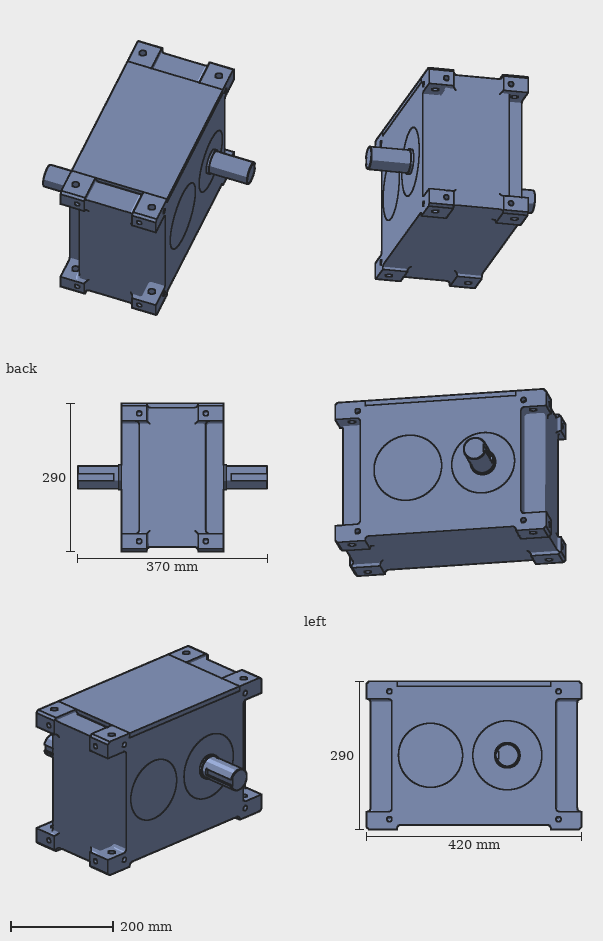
import cadquery as cq
import math

WIDTH = 200.0
LENGTH = 420.0
HEIGHT = 290.0
EDGE_CHAMFER = 5.0

FOOT_WIDTH = 50.0
FOOT_HEIGHT = 35.0
CHANNEL_DEPTH = 8.0
TROUGH_DEPTH = 9.0
CHANNEL_RADIUS = 7.0

POCKET_DEPTH = 35.0
POCKET_LENGTH = 50.0
POCKET_CORNER_RADIUS = 5.0
POCKET_LIP_RADIUS = 5.0

PLATE_LENGTH = 300.0
PLATE_THICKNESS = 10.0

MOUNT_DIAMETER = 14.0
MOUNT_FROM_SIDE = 20.0
MOUNT_FROM_END = 30.0
TAP_DIAMETER = 10.0
TAP_DEPTH = 20.0
TAP_TIP_ANGLE = 118.0
TAP_FROM_FACE = 20.0
END_TAP_FROM_SIDE = 35.0
SIDE_TAP_FROM_END = 45.0

OUTPUT_Y = -65.0
INPUT_Y = 85.0
OUTPUT_COVER_DIAMETER = 135.0
INPUT_COVER_DIAMETER = 125.0
COVER_THICKNESS = 10.0
SHAFT_SPAN = 370.0
SHAFT_DIAMETER = 45.0
COLLAR_DIAMETER = 49.5
COLLAR_LENGTH = 5.0
SHAFT_CHAMFER = 1.3
KEYWAY_WIDTH = 14.0
KEYWAY_DEPTH = 5.5
KEYWAY_LENGTH = 70.0

POCKET_HEIGHT = HEIGHT - 2 * FOOT_HEIGHT
FOOT_GAP = WIDTH - 2 * FOOT_WIDTH
FOOT_LENGTH = (LENGTH - PLATE_LENGTH) / 2
SHAFT_LENGTH = (SHAFT_SPAN - WIDTH) / 2
SIGNS = (-1, 1)


def block():
    """Outer block with its end edges chamfered."""
    return cq.Workplane("XY").box(WIDTH, LENGTH, HEIGHT).edges("|X").chamfer(EDGE_CHAMFER)


def rounded_channel(width, depth, run):
    """Cutter along Y whose mouth lies in the plane Z = 0, with a rounded floor below it."""
    return (
        cq.Workplane("XY")
        .box(width, run, 2 * depth)
        .edges("|Y and <Z")
        .fillet(CHANNEL_RADIUS)
    )


def cut_end_channels(body):
    """Upright recess between the feet on each end face."""
    channel = rounded_channel(FOOT_GAP, CHANNEL_DEPTH, HEIGHT)
    front_channel = channel.rotate((0, 0, 0), (1, 0, 0), 90).translate((0, -LENGTH / 2, 0))
    return body.cut(front_channel).cut(front_channel.mirror("XZ"))


def back_waist():
    """Cutter between the upper and lower feet at the +Y end: two pockets joined by a level recess."""
    margin = 2 * CHANNEL_RADIUS
    outer_x = WIDTH / 2 + margin
    outer_y = LENGTH / 2 + margin
    floor_x = WIDTH / 2 - POCKET_DEPTH
    recess_y = LENGTH / 2 - CHANNEL_DEPTH
    pocket_y = LENGTH / 2 - POCKET_LENGTH

    cutter = (
        cq.Workplane("XY", origin=(0, 0, -POCKET_HEIGHT / 2))
        .moveTo(-outer_x, outer_y)
        .lineTo(-outer_x, pocket_y)
        .lineTo(-floor_x, pocket_y)
        .lineTo(-floor_x, recess_y)
        .lineTo(floor_x, recess_y)
        .lineTo(floor_x, pocket_y)
        .lineTo(outer_x, pocket_y)
        .lineTo(outer_x, outer_y)
        .close()
        .extrude(POCKET_HEIGHT)
    )
    for x in (-floor_x, floor_x):
        lip = cq.selectors.NearestToPointSelector((x, recess_y, 0))
        cutter = cutter.edges(lip).fillet(POCKET_LIP_RADIUS)
    cutter = cutter.faces("<Z or >Z").edges().fillet(CHANNEL_RADIUS)
    for x in (-floor_x, floor_x):
        corner = cq.selectors.NearestToPointSelector((x, pocket_y, 0))
        cutter = cutter.edges(corner).fillet(POCKET_CORNER_RADIUS)
    return cutter


def cut_waists(body):
    """Waist of each end, between its upper and its lower feet."""
    waist = back_waist()
    return body.cut(waist).cut(waist.mirror("XZ"))


def cut_bottom_channels(body):
    """Crossing troughs that leave only the four feet on the ground."""
    along = rounded_channel(FOOT_GAP, TROUGH_DEPTH, LENGTH)
    across = rounded_channel(PLATE_LENGTH, TROUGH_DEPTH, WIDTH).rotate((0, 0, 0), (0, 0, 1), 90)
    for cutter in (along, across):
        body = body.cut(cutter.mirror("XY").translate((0, 0, -HEIGHT / 2)))
    return body


def cut_top_channels(body):
    """Trough between the upper feet at each end, and the sharp seat of the top plate."""
    trough = rounded_channel(FOOT_GAP, TROUGH_DEPTH, FOOT_LENGTH)
    for side in SIGNS:
        body = body.cut(trough.translate((0, side * (LENGTH - FOOT_LENGTH) / 2, HEIGHT / 2)))
    return body.cut(plate())


def plate():
    """Plain plate, flush with the upper feet."""
    return (
        cq.Workplane("XY")
        .box(WIDTH, PLATE_LENGTH, PLATE_THICKNESS)
        .translate((0, 0, (HEIGHT - PLATE_THICKNESS) / 2))
    )


def drill_mount_holes(body):
    """Upright holes through the upper and lower feet."""
    spacing = (WIDTH - 2 * MOUNT_FROM_SIDE, LENGTH - 2 * MOUNT_FROM_END)
    drills = (
        cq.Workplane("XY", origin=(0, 0, -HEIGHT / 2))
        .rect(*spacing, forConstruction=True)
        .vertices()
        .circle(MOUNT_DIAMETER / 2)
        .extrude(HEIGHT)
    )
    return body.cut(drills)


def tap_drill(start, direction):
    """Blind drill with a conical tip."""
    radius = TAP_DIAMETER / 2
    tip = radius / math.tan(math.radians(TAP_TIP_ANGLE / 2))
    straight = cq.Solid.makeCylinder(radius, TAP_DEPTH)
    cone = cq.Solid.makeCone(radius, 0, tip, cq.Vector(0, 0, TAP_DEPTH))
    plane = cq.Plane(origin=start, normal=direction)
    return straight.fuse(cone).moved(cq.Location(plane))


def drill_tapped_holes(body):
    """Blind holes in the end and side faces of every foot."""
    for x in SIGNS:
        for y in SIGNS:
            for z in SIGNS:
                hole_z = z * (HEIGHT / 2 - TAP_FROM_FACE)
                end_start = (x * (WIDTH / 2 - END_TAP_FROM_SIDE), y * LENGTH / 2, hole_z)
                side_start = (x * WIDTH / 2, y * (LENGTH / 2 - SIDE_TAP_FROM_END), hole_z)
                body = body.cut(cq.Workplane(tap_drill(end_start, (0, -y, 0))))
                body = body.cut(cq.Workplane(tap_drill(side_start, (-x, 0, 0))))
    return body


def cover_disc(side, y, diameter):
    """Disc let in flush with the side face; side is the sign of X."""
    return (
        cq.Workplane("YZ", origin=(side * WIDTH / 2, y, 0))
        .circle(diameter / 2)
        .extrude(-side * COVER_THICKNESS)
    )


def shaft(side, y):
    """Stepped shaft that starts at the back of its cover, with a keyway open at the tip."""
    tip_x = WIDTH / 2 + SHAFT_LENGTH
    collar = (
        cq.Workplane("YZ", origin=(WIDTH / 2 - COVER_THICKNESS, y, 0))
        .circle(COLLAR_DIAMETER / 2)
        .extrude(COVER_THICKNESS + COLLAR_LENGTH)
    )
    journal = (
        cq.Workplane("YZ", origin=(WIDTH / 2, y, 0))
        .circle(SHAFT_DIAMETER / 2)
        .extrude(SHAFT_LENGTH)
        .faces(">X")
        .chamfer(SHAFT_CHAMFER)
    )
    keyway = (
        cq.Workplane("XY")
        .box(KEYWAY_LENGTH, 2 * KEYWAY_DEPTH, KEYWAY_WIDTH)
        .translate((tip_x - KEYWAY_LENGTH / 2, y + SHAFT_DIAMETER / 2, 0))
    )
    turned = collar.union(journal).cut(keyway)
    return turned if side > 0 else turned.mirror("YZ")


output_shaft = shaft(-1, OUTPUT_Y)
input_shaft = shaft(1, INPUT_Y)

output_discs = [cover_disc(side, OUTPUT_Y, OUTPUT_COVER_DIAMETER) for side in SIGNS]
input_discs = [cover_disc(side, INPUT_Y, INPUT_COVER_DIAMETER) for side in SIGNS]
covers = [disc.cut(output_shaft) for disc in output_discs]
covers += [disc.cut(input_shaft) for disc in input_discs]

top_plate = plate()
housing = block()
housing = cut_end_channels(housing)
housing = cut_waists(housing)
housing = cut_bottom_channels(housing)
housing = cut_top_channels(housing)
housing = drill_mount_holes(housing)
housing = drill_tapped_holes(housing)
for disc in output_discs + input_discs:
    housing = housing.cut(disc)

bodies = [housing, top_plate, output_shaft, input_shaft] + covers
result = cq.Compound.makeCompound([body.val() for body in bodies])